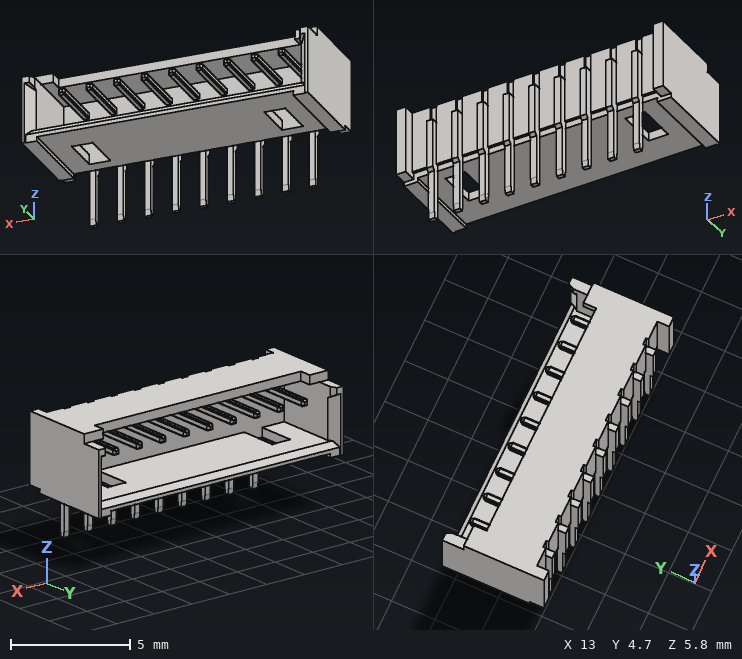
import cadquery as cq
import math


length = 13.0
depth = 4.7
overall_height = 5.8
height = 3.5
half_length = length / 2
side_wall = 0.48
cavity_half = half_length - side_wall
foot_height = 0.2
foot_width = 0.68
rear_face = 0.55
rear_recess = 0.66
rear_step_height = 0.3
floor_thickness = 0.44
roof_thickness = 0.43
floor_top = foot_height + floor_thickness
cavity_top = height - roof_thickness
cavity_rear = 1.3

arm_length = 1.0
roof_cut_depth = 1.59
roof_ear_width = 1.01
mouth_chamfer_width = 0.13
mouth_chamfer_depth = 0.29
floor_chamfer_height = 0.26
flare_width = 0.35
flare_depth = 0.45
flare_drop_mouth = 0.31
flare_drop_inside = 0.55
floor_setback = 0.04

pin_count = 9
pin_row_length = 10.0
pin_pitch = pin_row_length / (pin_count - 1)
pin_size = 0.3
pin_bottom = height - overall_height
leg_front = 0.61
leg_rear = 0.34
bend_rear = 0.2
first_pin_shift = 0.05
bend_drop = 0.9
bend_top = height - bend_drop
bend_bottom = 0.21
tip_height = 0.3
leg_tip_inset = 0.04
contact_setback = 0.66
contact_end = depth - contact_setback
contact_tip_length = 0.13
contact_tip_inset = 0.08
contact_edge_chamfer = 0.05

window_setback = 1.5
window_front = depth - window_setback

pin_places = [(i - (pin_count - 1) / 2) * pin_pitch for i in range(pin_count)]


def block(x_range, y_range, z_range):
    """Axis-aligned block between pairs of coordinates."""
    (x0, x1), (y0, y1), (z0, z1) = x_range, y_range, z_range
    return cq.Workplane("XY").box(x1 - x0, y1 - y0, z1 - z0, centered=False).translate((x0, y0, z0))


def both_ends(shape):
    """A shape together with its mirror image at the other end of the housing."""
    return shape.union(shape.mirror("YZ"))


def housing_blank():
    """Block with end feet, the recessed rear face and the cut-back roof."""
    body = block((-half_length, half_length), (0, depth), (foot_height, height))
    foot = block((-half_length, foot_width - half_length), (rear_recess, depth), (0, foot_height))
    body = body.union(both_ends(foot))
    body = body.cut(block((-cavity_half, cavity_half), (0, rear_face), (foot_height, height)))
    body = body.cut(
        block((-cavity_half, cavity_half), (0, rear_recess), (foot_height, foot_height + rear_step_height))
    )
    body = body.cut(block((-half_length, half_length), (depth - arm_length, depth), (cavity_top, height)))
    ear_x = half_length - roof_ear_width
    return body.cut(block((-ear_x, ear_x), (depth - roof_cut_depth, depth), (cavity_top, height)))


def lead_in_plan(width, run):
    """Plan outline that widens from the cavity to the mouth, on both side walls."""
    return (
        cq.Workplane("XY")
        .moveTo(-cavity_half, depth - run)
        .lineTo(cavity_half, depth - run)
        .lineTo(cavity_half + width, depth)
        .lineTo(-cavity_half - width, depth)
        .close()
    )


def upper_lead_in():
    """Narrow lead-in of the side walls, over the full cavity height."""
    prism = lead_in_plan(mouth_chamfer_width, mouth_chamfer_depth).extrude(cavity_top - floor_top)
    return prism.translate((0, 0, floor_top))


def lower_lead_in():
    """Wider lead-in under a sloping top, running down into the bevelled front edge of the floor."""
    floor_front = depth - floor_setback
    profile = (
        cq.Workplane("YZ")
        .moveTo(depth - flare_depth, floor_top)
        .lineTo(depth - mouth_chamfer_depth, floor_top)
        .lineTo(floor_front, floor_top - floor_chamfer_height)
        .lineTo(floor_front, 0)
        .lineTo(depth, 0)
        .lineTo(depth, cavity_top - flare_drop_mouth)
        .lineTo(depth - flare_depth, cavity_top - flare_drop_inside)
        .close()
        .extrude(half_length, both=True)
    )
    return lead_in_plan(flare_width, flare_depth).extrude(height).intersect(profile)


def floor_window():
    """Opening through the floor between the two pins nearest one end."""
    x_range = (pin_places[0] + pin_size / 2, pin_places[1] - pin_size / 2)
    return block(x_range, (cavity_rear, window_front), (foot_height, floor_top))


def pin_across(x):
    """X range taken up by the pin at x."""
    return (x - pin_size / 2, x + pin_size / 2)


def contact(x):
    """Straight part of the pin at x, with bevelled edges and a tapered tip."""
    shank_end = contact_end - contact_tip_length
    tip_taper = math.degrees(math.atan2(contact_tip_inset, contact_tip_length))
    section = cq.Sketch().rect(pin_size, pin_size).vertices().chamfer(contact_edge_chamfer)
    start = cq.Workplane("XZ", origin=(x, shank_end, bend_top - pin_size / 2))
    shank = start.placeSketch(section).extrude(shank_end - leg_front)
    tip = start.placeSketch(section).extrude(-contact_tip_length, taper=tip_taper)
    return shank.union(tip)


def pin(x):
    """Right-angle pin: contact in the cavity, thick bend behind the housing and tapered leg."""
    leg = (
        cq.Workplane("YZ", origin=(x, 0, 0))
        .moveTo(leg_front, bend_top)
        .lineTo(bend_rear, bend_top)
        .lineTo(bend_rear, bend_bottom)
        .lineTo(leg_rear, bend_bottom - (leg_rear - bend_rear))
        .lineTo(leg_rear, pin_bottom + tip_height)
        .lineTo(leg_rear + leg_tip_inset, pin_bottom)
        .lineTo(leg_front - leg_tip_inset, pin_bottom)
        .lineTo(leg_front, pin_bottom + tip_height)
        .close()
        .extrude(pin_size / 2, both=True)
    )
    return leg.union(contact(x))


cavity = block((-cavity_half, cavity_half), (cavity_rear, depth), (floor_top, cavity_top))
result = housing_blank().cut(cavity).cut(upper_lead_in()).cut(lower_lead_in())
result = result.cut(both_ends(floor_window()))
for x in pin_places:
    result = result.cut(block(pin_across(x), (0, rear_recess), (foot_height, height)))
for i, x in enumerate(pin_places):
    shift = first_pin_shift if i == 0 else 0
    result = result.union(pin(x).translate((0, shift, 0)))